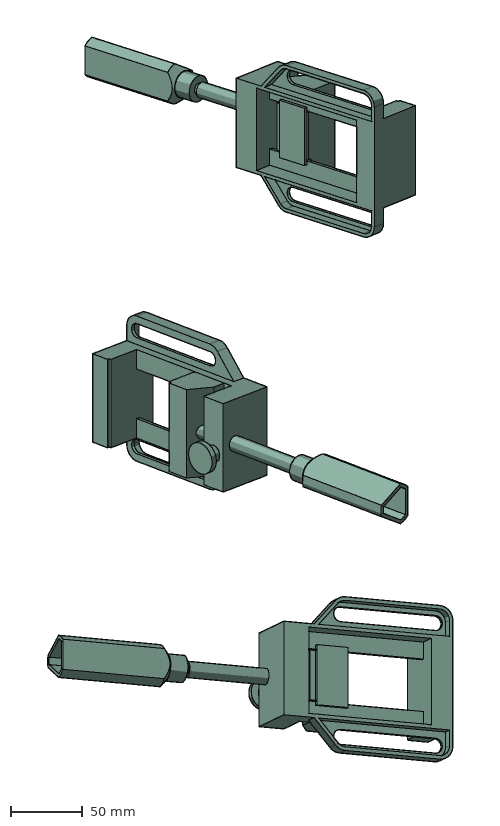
import cadquery as cq
import math


length = 287.0
frame_length = 128.2
frame_start = length - frame_length
frame_height = 43.3
frame_width = 66.5
wall = 2.5
block_length = 19.0
block_end = frame_start + block_length
fixed_jaw_length = 16.4
fixed_jaw_start = length - fixed_jaw_length
rail_top = 16.4
rail_underside = rail_top - wall
recess_width = frame_width - 2 * wall
slot_width = 37.3
jaw_notch = 1.7

overall_width = 109.3
ear_height = 9.8
ear_angle = 48.0
ear_root_x = 181.5
ear_corner_radius = 10.0
ear_rise = (overall_width - frame_width) / 2
ear_shoulder_x = ear_root_x + ear_rise / math.tan(math.radians(ear_angle))
ear_slot_start = 199.7
ear_slot_end = 282.0
ear_slot_width = 10.5
ear_slot_z = 43.5

button_x = frame_start + block_length / 2
button_z = -7.0
button_stem_diameter = 12.3
button_head_diameter = 23.0
button_head_thickness = 4.3
button_top = 56.2

jaw_start = 184.5
jaw_end = 213.5
jaw_width = frame_width
jaw_slope_start_y = 26.5
jaw_slope_end_x = 194.8
jaw_tongue_width = 35.3
keeper_start = 188.8
keeper_end = 212.3
keeper_width = 42.7
keeper_thickness = wall

axis_y = 31.5
screw_diameter = 11.5
screw_start = 98.7
screw_tip = (jaw_slope_end_x + jaw_end) / 2
neck_diameter = 8.0
collar_start = 82.3
collar_end = 95.5
collar_diameter = 19.2
grip_flat_distance = 11.2
grip_radius = 15.5
grip_end_radius = 10.0
grip_taper_start = collar_start - (grip_radius - grip_end_radius)
grip_wall = wall
grip_floor_x = grip_taper_start - grip_wall


def box(x_range, y_range, width):
    """Block spanning two ranges, centred on Z = 0."""
    x0, x1 = x_range
    y0, y1 = y_range
    block = cq.Workplane("XY").box(x1 - x0, y1 - y0, width, centered=(False, False, True))
    return block.translate((x0, y0, 0))


def rod(x0, x1, diameter):
    """Cylinder on the screw axis."""
    return cq.Workplane("YZ", origin=(x0, axis_y, 0)).circle(diameter / 2).extrude(x1 - x0)


def on_mounting_face():
    """Sketch plane at Y = 0: local x is X, local y is Z, and negative extrusion goes up in +Y."""
    return cq.Workplane("XZ")


def make_profile():
    """Side profile of the frame: block, rails and fixed jaw."""
    return (
        cq.Workplane("XY", origin=(0, 0, -frame_width / 2))
        .moveTo(frame_start, 0)
        .lineTo(length, 0)
        .lineTo(length, frame_height)
        .lineTo(fixed_jaw_start + jaw_notch, frame_height)
        .lineTo(fixed_jaw_start + jaw_notch, frame_height - jaw_notch)
        .lineTo(fixed_jaw_start, frame_height - jaw_notch)
        .lineTo(fixed_jaw_start, rail_top)
        .lineTo(block_end, rail_top)
        .lineTo(block_end, frame_height)
        .lineTo(frame_start, frame_height)
        .close()
        .extrude(frame_width)
    )


def make_ears():
    """Plate crossing the frame whose ends are the ears, hollowed to leave a rim."""
    half = overall_width / 2
    root = frame_width / 2
    outline = [
        (length, -half),
        (length, half),
        (ear_shoulder_x, half),
        (ear_root_x, root),
        (ear_root_x, -root),
        (ear_shoulder_x, -half),
    ]
    plate = on_mounting_face().polyline(outline).close().extrude(-ear_height)
    for outer_corners in (">Z", "<Z"):
        plate = plate.edges("|Y").edges(outer_corners).fillet(ear_corner_radius)

    pocket_depth = ear_height - wall
    inner_outline = plate.faces("<Y").wires().toPending().offset2D(-wall)
    pocket = inner_outline.extrude(-pocket_depth, combine=False)
    pocket = pocket.cut(box((frame_start, length), (0, ear_height), frame_width))
    return plate.cut(pocket)


def make_ear_slots():
    slot_length = ear_slot_end - ear_slot_start
    slot_x = (ear_slot_start + ear_slot_end) / 2
    return (
        on_mounting_face()
        .pushPoints([(slot_x, -ear_slot_z), (slot_x, ear_slot_z)])
        .slot2D(slot_length, ear_slot_width)
        .extrude(-ear_height)
    )


def make_button():
    head_bottom = button_top - button_head_thickness
    stem_length = head_bottom - frame_height
    return (
        cq.Workplane("XZ", origin=(button_x, frame_height, button_z))
        .circle(button_stem_diameter / 2)
        .extrude(-stem_length)
        .faces(">Y")
        .workplane()
        .circle(button_head_diameter / 2)
        .extrude(button_head_thickness)
    )


def make_frame():
    recess = box((block_end, fixed_jaw_start), (0, rail_underside), recess_width)
    slot = box((block_end, fixed_jaw_start), (0, rail_top), slot_width)
    screw_bore = rod(frame_start, block_end, screw_diameter)
    return (
        make_profile()
        .union(make_ears())
        .cut(make_ear_slots())
        .cut(recess)
        .cut(slot)
        .cut(screw_bore)
        .union(make_button())
    )


def make_sliding_jaw():
    """Jaw riding on the rails, with a tongue in the slot and a keeper plate below."""
    upper = (
        cq.Workplane("XY", origin=(0, 0, -jaw_width / 2))
        .moveTo(jaw_start, rail_top)
        .lineTo(jaw_end, rail_top)
        .lineTo(jaw_end, frame_height - jaw_notch)
        .lineTo(jaw_end - jaw_notch, frame_height - jaw_notch)
        .lineTo(jaw_end - jaw_notch, frame_height)
        .lineTo(jaw_slope_end_x, frame_height)
        .lineTo(jaw_start, jaw_slope_start_y)
        .close()
        .extrude(jaw_width)
    )
    tongue = box((jaw_start, jaw_end), (rail_underside, rail_top), jaw_tongue_width)
    keeper_bottom = rail_underside - keeper_thickness
    keeper = box((keeper_start, keeper_end), (keeper_bottom, rail_underside), keeper_width)
    return upper.union(tongue).union(keeper)


def triangular_bar(flat_distance, end_x):
    """Bar from X = 0 whose section is an equilateral triangle about the axis, one corner pointing up in Y."""
    base_y = axis_y - flat_distance
    tip_y = axis_y + 2 * flat_distance
    base_half = math.sqrt(3) * flat_distance
    return (
        cq.Workplane("YZ")
        .polyline([(base_y, -base_half), (tip_y, 0), (base_y, base_half)])
        .close()
        .extrude(end_x)
    )


def make_handle():
    """Hollow three-sided grip with turned corners, tapering to a collar."""
    turning = (
        cq.Workplane("XY", origin=(0, axis_y, 0))
        .lineTo(collar_start, 0)
        .lineTo(collar_start, grip_end_radius)
        .lineTo(grip_taper_start, grip_radius)
        .lineTo(0, grip_radius)
        .close()
        .revolve(360, (0, 0, 0), (1, 0, 0))
    )
    hollow_round = rod(0, grip_floor_x, 2 * (grip_radius - grip_wall))
    hollow = triangular_bar(grip_flat_distance - grip_wall, grip_floor_x).intersect(hollow_round)
    grip = triangular_bar(grip_flat_distance, collar_start).intersect(turning).cut(hollow)
    return grip.union(rod(collar_start, collar_end, collar_diameter))


def make_screw_assembly():
    """Handle, neck, screw and sliding jaw as one moving body."""
    neck = rod(collar_end, screw_start, neck_diameter)
    screw = rod(screw_start, screw_tip, screw_diameter)
    return make_handle().union(neck).union(screw).union(make_sliding_jaw())


frame = make_frame()
screw_assembly = make_screw_assembly()

result = cq.Compound.makeCompound([frame.val(), screw_assembly.val()])